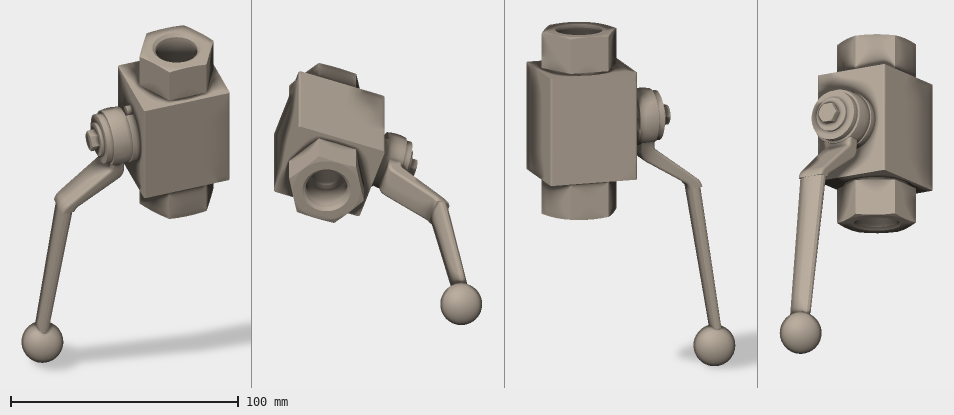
import cadquery as cq
import math


body_width = 35.0
body_height = 48.3
body_back = 18.8
body_front = -21.2
body_edge_radius = 1.0

connector_end = 41.2
hex_across_flats = 30.0
hex_start = 25.2
hex_face_diameter = 29.5
hex_chamfer_drop = 0.6
neck_diameter = 29.0
neck_recess_diameter = 32.0
neck_recess_depth = 0.3

bore_diameter = 13.0
thread_diameter = 18.6
thread_depth = 15.6
thread_mouth_diameter = 21.2

stop_plate_diameter = 25.6
stop_plate_relief_diameter = 18.6
stop_plate_end = -24.7
hub_diameter = 25.2
hub_edge_diameter = 24.2
hub_end = -33.1
cap_diameter = 22.0
cap_end = -36.1
washer_diameter = 15.0
washer_end = -37.5
stem_hex_across_flats = 8.1
stem_end = -41.0
stem_hex_face_diameter = 8.1
stem_hex_chamfer_drop = 0.5

pin_diameter = 4.5
pin_orbit_radius = 12.2
pin_end = -23.6
pin_seat_diameter = 6.7

arm_top_z = -6.2
arm_top_width = 14.7
arm_back = -26.5
arm_front = -32.8
arm_edge_radius = 1.2
arm_front_bend_radius = 2.3
arm_back_bend_radius = 5.5
grip_front_bend_radius = 6.2
grip_back_bend_radius = 3.1
grip_top_z = -32.5
grip_top_back = -49.2
grip_top_front = -55.3
grip_top_width = 12.2
grip_end_z = -97.0
grip_end_back = -60.3
grip_end_front = -65.2
grip_end_width = 10.0
grip_edge_inset = 0.6
grip_neck_inset = 0.3

knob_diameter = 18.5
knob_front = -71.7
knob_bottom = -115.0
knob_y = knob_front + knob_diameter / 2
knob_z = knob_bottom + knob_diameter / 2


def stem_cylinder(diameter, start, end):
    """Cylinder on the stem axis between two Y positions, running towards -Y."""
    return cq.Workplane("XZ", origin=(0, start, 0)).circle(diameter / 2).extrude(start - end)


def make_body():
    depth = body_back - body_front
    block = cq.Workplane("XY").box(body_width, depth, body_height)
    block = block.edges("|Z").fillet(body_edge_radius)
    return block.translate((0, (body_back + body_front) / 2, 0))


def make_neck_recess():
    """Shallow ring sunk around the neck into the top face of the body."""
    ring = cq.Workplane("XY", origin=(0, 0, body_height / 2 - neck_recess_depth))
    ring = ring.circle(neck_recess_diameter / 2).circle(neck_diameter / 2)
    return ring.extrude(neck_recess_depth)


def make_connector():
    """Upper connector: round neck and a hexagon with corners on +Y and -Y."""
    hex_diameter = hex_across_flats / math.cos(math.pi / 6)
    hexagon = cq.Workplane("XY").workplane(offset=hex_start)
    hexagon = hexagon.transformed(rotate=(0, 0, 90)).polygon(6, hex_diameter)
    hexagon = hexagon.extrude(connector_end - hex_start)
    corner_radius = hex_diameter / 2
    turned_profile = [
        (0, hex_start),
        (corner_radius, hex_start),
        (corner_radius, connector_end - hex_chamfer_drop),
        (hex_face_diameter / 2, connector_end),
        (0, connector_end),
    ]
    turned = cq.Workplane("XZ").polyline(turned_profile).close()
    turned = turned.revolve(360, (0, 0, 0), (0, 1, 0))
    neck = cq.Workplane("XY").circle(neck_diameter / 2).extrude(hex_start)
    return hexagon.intersect(turned).union(neck)


def make_port():
    """Upper half of the bore: through hole, thread hole and its chamfered mouth."""
    bore_radius = bore_diameter / 2
    thread_radius = thread_diameter / 2
    mouth_radius = thread_mouth_diameter / 2
    thread_floor = connector_end - thread_depth
    mouth_floor = connector_end - (mouth_radius - thread_radius)
    profile = [
        (0, 0),
        (bore_radius, 0),
        (bore_radius, thread_floor),
        (thread_radius, thread_floor),
        (thread_radius, mouth_floor),
        (mouth_radius, connector_end),
        (0, connector_end),
    ]
    return cq.Workplane("XZ").polyline(profile).close().revolve(360, (0, 0, 0), (0, 1, 0))


def make_stop_plate():
    """Disc whose upper left quarter is relieved so that the pin limits the turn to 90 degrees."""
    thickness = body_front - stop_plate_end
    plate = stem_cylinder(stop_plate_diameter, body_front, stop_plate_end)
    front = cq.Workplane("XZ", origin=(0, body_front, 0))
    quarter = front.rect(-stop_plate_diameter, stop_plate_diameter, centered=False).extrude(thickness)
    core = stem_cylinder(stop_plate_relief_diameter, body_front, stop_plate_end)
    seat_centers = [(0, pin_orbit_radius), (-pin_orbit_radius, 0)]
    seats = front.pushPoints(seat_centers).circle(pin_seat_diameter / 2).extrude(thickness)
    return plate.cut(quarter.cut(core)).cut(seats)


def make_pin():
    pin = cq.Workplane("XZ", origin=(0, body_front, pin_orbit_radius))
    return pin.circle(pin_diameter / 2).extrude(body_front - pin_end)


def make_hub():
    """Barrel-shaped hub around the stem."""
    edge_radius = hub_edge_diameter / 2
    middle = (stop_plate_end + hub_end) / 2
    profile = (
        cq.Workplane("XY")
        .moveTo(0, stop_plate_end)
        .lineTo(edge_radius, stop_plate_end)
        .threePointArc((hub_diameter / 2, middle), (edge_radius, hub_end))
        .lineTo(0, hub_end)
        .close()
    )
    return profile.revolve(360, (0, 0, 0), (0, 1, 0))


def make_stem_end():
    """Cap, washer and the hexagonal end of the stem with its turned chamfer."""
    cap = stem_cylinder(cap_diameter, hub_end, cap_end)
    washer = stem_cylinder(washer_diameter, cap_end, washer_end)
    hex_diameter = stem_hex_across_flats / math.cos(math.pi / 6)
    hexagon = cq.Workplane("XZ", origin=(0, washer_end, 0)).polygon(6, hex_diameter)
    hexagon = hexagon.extrude(washer_end - stem_end)
    turned_profile = [
        (0, washer_end),
        (hex_diameter / 2, washer_end),
        (hex_diameter / 2, stem_end + stem_hex_chamfer_drop),
        (stem_hex_face_diameter / 2, stem_end),
        (0, stem_end),
    ]
    turned = cq.Workplane("XY").polyline(turned_profile).close()
    turned = turned.revolve(360, (0, 0, 0), (0, 1, 0))
    return cap.union(washer).union(hexagon.intersect(turned))


def make_arm():
    """Cranked upper arm: a side profile in YZ trimmed to a tapered front outline."""
    back_upper_bend = (arm_back, -17.8)
    back_lower_bend = (-48.6, -31.1)
    front_lower_bend = (-54.5, -29.8)
    front_upper_bend = (arm_front, -13.5)
    side_outline = [
        (arm_back, arm_top_z),
        back_upper_bend,
        back_lower_bend,
        (grip_top_back, grip_top_z),
        (grip_top_front, grip_top_z),
        front_lower_bend,
        front_upper_bend,
        (arm_front, arm_top_z),
    ]
    side = cq.Workplane("YZ").polyline(side_outline).close().extrude(arm_top_width / 2, both=True)
    bends = [
        (back_upper_bend, arm_back_bend_radius),
        (back_lower_bend, grip_back_bend_radius),
        (front_lower_bend, grip_front_bend_radius),
        (front_upper_bend, arm_front_bend_radius),
    ]
    for (y, z), radius in bends:
        corner = cq.selectors.NearestToPointSelector((0, y, z))
        side = side.edges("|X").edges(corner).fillet(radius)
    front_outline = [
        (-arm_top_width / 2, arm_top_z),
        (arm_top_width / 2, arm_top_z),
        (grip_top_width / 2, grip_top_z),
        (-grip_top_width / 2, grip_top_z),
    ]
    front = cq.Workplane("XZ").polyline(front_outline).close().extrude(-grip_top_front)
    arm = side.intersect(front)
    return arm.faces(">X or <X").edges("not |Y").fillet(arm_edge_radius)


def grip_section(plane, width, back, front):
    """Rounded bar section with bevelled edges, flat sides and crowned front and back."""
    half_width = width / 2
    face_half_width = half_width - grip_edge_inset
    step = (back - front) / 5
    middle = (back + front) / 2
    return (
        plane.moveTo(-face_half_width, back - step)
        .threePointArc((0, back), (face_half_width, back - step))
        .lineTo(half_width, middle + step / 2)
        .lineTo(half_width, middle - step / 2)
        .lineTo(face_half_width, front + step)
        .threePointArc((0, front), (-face_half_width, front + step))
        .lineTo(-half_width, middle - step / 2)
        .lineTo(-half_width, middle + step / 2)
        .close()
    )


def make_grip():
    """Tapered lower part of the lever and the short neck that enters the knob."""
    top = cq.Workplane("XY", origin=(0, 0, grip_top_z))
    section = grip_section(top, grip_top_width, grip_top_back, grip_top_front)
    section = section.workplane(offset=grip_end_z - grip_top_z)
    bar = grip_section(section, grip_end_width, grip_end_back, grip_end_front).loft(ruled=True)
    neck_width = grip_end_width - 2 * grip_neck_inset
    neck_back = grip_end_back - grip_neck_inset
    neck_front = grip_end_front + grip_neck_inset
    neck = cq.Workplane("XY", origin=(0, 0, grip_end_z))
    neck = grip_section(neck, neck_width, neck_back, neck_front).extrude(knob_z - grip_end_z)
    return bar.union(neck)


def make_knob():
    return cq.Workplane("XY").sphere(knob_diameter / 2).translate((0, knob_y, knob_z))


def both_ends(shape):
    """The shape together with its mirror image below the stem axis."""
    return shape.union(shape.mirror("XY"))


result = make_body().cut(both_ends(make_neck_recess()))
result = result.union(both_ends(make_connector()))
result = result.cut(both_ends(make_port()))
result = result.union(make_stop_plate()).union(make_pin())
result = result.union(make_hub()).union(make_stem_end())
result = result.union(make_arm())
result = result.union(make_grip()).union(make_knob())